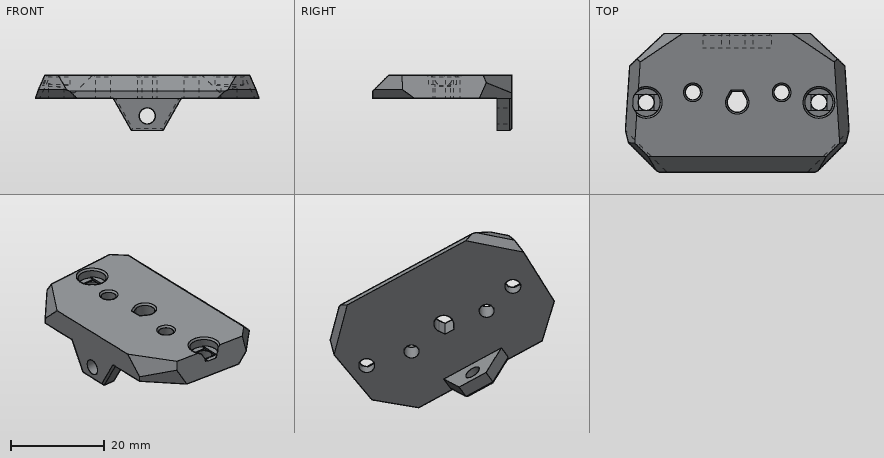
import cadquery as cq
import math

plate_width = 48.0
plate_top = 5.0
front_y = -15.0
back_y = 14.81
plate_depth = back_y - front_y

widest_point = (plate_width / 2, -6.0, 0)
side_heading = 3.8
side_lean = 24.0

front_chamfer = 3.45

front_ridge_point = (17.15, -14.8, 1.9)
front_corner_heading = -45.0
front_corner_upper_lean = 16.5
front_corner_lower_lean = -36.6

back_corner_point = (15.65, back_y, 1.15)
back_corner_upper_heading = 56.0
back_corner_upper_lean = 30.0
back_corner_wall_heading = 46.8

tab_drop = 6.9
tab_thickness = 3.2
tab_root_width = 14.6
tab_tip_width = 6.8
tab_chamfer = 0.45
tab_hole_diameter = 3.4
tab_hole_z = -3.75

hole_chamfer = 0.4
small_hole_diameter = 3.2
small_hole_x = 9.5
small_hole_y = 2.15

keyed_hole_radius = 2.1
keyed_hole_flat_y = 2.3
keyed_hole_flank_angle = 30.0

screw_hole_xs = (-19.5, 17.5)
screw_hole_diameter = 3.4
head_diameter = 6.0
head_seat_z = 3.0
bridge_step = 0.2

stock_width = plate_width + 10.0
cutter_size = 200.0


def trim(body, point, heading, lean):
    """Remove everything outside the plane through point that faces heading and lean."""
    heading = math.radians(heading)
    lean = math.radians(lean)
    normal = (
        math.cos(lean) * math.cos(heading),
        math.cos(lean) * math.sin(heading),
        math.sin(lean),
    )
    plane = cq.Plane(origin=point, normal=normal)
    cutter = cq.Workplane(plane).rect(cutter_size, cutter_size).extrude(cutter_size)
    return body.cut(cutter)


def trim_both_sides(body, point, heading, lean):
    """Trim the right-hand face and its mirror image on the left."""
    x, y, z = point
    body = trim(body, point, heading, lean)
    return trim(body, (-x, y, z), 180 - heading, lean)


def make_plate():
    plate = (
        cq.Workplane("XY", origin=(0, front_y, 0))
        .box(stock_width, plate_depth, plate_top, centered=(True, False, False))
        .faces("<Y")
        .edges(">Z")
        .chamfer(front_chamfer)
    )
    plate = trim_both_sides(plate, widest_point, side_heading, side_lean)
    plate = trim_both_sides(
        plate, front_ridge_point, front_corner_heading, front_corner_upper_lean
    )
    plate = trim_both_sides(
        plate, widest_point, front_corner_heading, front_corner_lower_lean
    )
    plate = trim_both_sides(
        plate, back_corner_point, back_corner_upper_heading, back_corner_upper_lean
    )
    return trim_both_sides(plate, back_corner_point, back_corner_wall_heading, 0)


def make_tab():
    """Trapezoidal lug with chamfered rear edges on its flanks and tip."""
    tab = (
        cq.Workplane("XZ", origin=(0, back_y, 0))
        .polyline([
            (-tab_root_width / 2, 0),
            (tab_root_width / 2, 0),
            (tab_tip_width / 2, -tab_drop),
            (-tab_tip_width / 2, -tab_drop),
        ])
        .close()
        .extrude(tab_thickness)
    )
    tab = tab.faces(">Y").edges("not >Z").chamfer(tab_chamfer)
    hole = (
        cq.Workplane("XZ", origin=(0, back_y, 0))
        .center(0, tab_hole_z)
        .circle(tab_hole_diameter / 2)
        .extrude(tab_thickness)
    )
    return tab.cut(hole)


def round_cutter(x, y, diameter, bottom_z):
    """Cylinder open at the plate top, with a chamfered mouth."""
    radius = diameter / 2
    mouth_radius = radius + hole_chamfer
    return (
        cq.Workplane("XZ", origin=(x, y, 0))
        .polyline([
            (0, bottom_z),
            (radius, bottom_z),
            (radius, plate_top - hole_chamfer),
            (mouth_radius, plate_top),
            (0, plate_top),
        ])
        .close()
        .revolve(360, (0, 0), (0, 1))
    )


def keyed_outline(workplane, offset):
    """Circle with two tangent flanks rising to a flat, all grown by offset."""
    radius = keyed_hole_radius + offset
    flat_y = keyed_hole_flat_y + offset
    angle = math.radians(keyed_hole_flank_angle)
    tangent_x = radius * math.cos(angle)
    tangent_y = radius * math.sin(angle)
    flat_x = (radius - flat_y * math.sin(angle)) / math.cos(angle)
    return (
        workplane.moveTo(flat_x, flat_y)
        .lineTo(tangent_x, tangent_y)
        .threePointArc((0, -radius), (-tangent_x, tangent_y))
        .lineTo(-flat_x, flat_y)
        .close()
    )


def keyed_cutter():
    shaft = keyed_outline(cq.Workplane("XY"), 0).extrude(plate_top)
    throat = keyed_outline(cq.Workplane("XY", origin=(0, 0, plate_top - hole_chamfer)), 0)
    mouth = keyed_outline(throat.workplane(offset=hole_chamfer), hole_chamfer)
    return shaft.union(mouth.loft(ruled=True, combine=True))


def screw_cutter(x):
    """Head recess, then a slot step, a square step and the screw shaft."""
    head = round_cutter(x, 0, head_diameter, head_seat_z)
    slot_z = head_seat_z - bridge_step
    square_z = slot_z - bridge_step
    slot = (
        cq.Workplane("XY", origin=(x, 0, slot_z))
        .circle(head_diameter / 2)
        .extrude(bridge_step)
        .intersect(
            cq.Workplane("XY", origin=(x, 0, slot_z))
            .rect(head_diameter, screw_hole_diameter)
            .extrude(bridge_step)
        )
    )
    square = (
        cq.Workplane("XY", origin=(x, 0, square_z))
        .rect(screw_hole_diameter, screw_hole_diameter)
        .extrude(bridge_step)
    )
    shaft = (
        cq.Workplane("XY", origin=(x, 0, 0))
        .circle(screw_hole_diameter / 2)
        .extrude(square_z)
    )
    return head.union(slot).union(square).union(shaft)


result = make_plate().union(make_tab())
result = result.cut(keyed_cutter())
for side in (-1, 1):
    result = result.cut(round_cutter(side * small_hole_x, small_hole_y, small_hole_diameter, 0))
for screw_hole_x in screw_hole_xs:
    result = result.cut(screw_cutter(screw_hole_x))